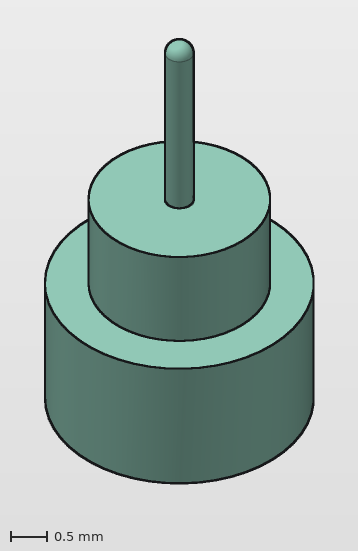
import cadquery as cq

total_height = 6.35
base_diameter = 3.7
base_height = 2.05
collar_diameter = 2.5
collar_height = 1.5
pin_diameter = 0.4
tip_height = 0.185

pin_radius = pin_diameter / 2
shoulder_height = base_height + collar_height
tip_start = total_height - tip_height
dome_radius = (pin_radius**2 + tip_height**2) / (2 * tip_height)

base = cq.Workplane("XY").circle(base_diameter / 2).extrude(base_height)
body = base.faces(">Z").workplane().circle(collar_diameter / 2).extrude(collar_height)

pin = (
    cq.Workplane("XZ")
    .moveTo(0, shoulder_height)
    .lineTo(pin_radius, shoulder_height)
    .lineTo(pin_radius, tip_start)
    .radiusArc((0, total_height), -dome_radius)
    .close()
    .revolve(360, (0, 0), (0, 1))
)

result = body.union(pin)